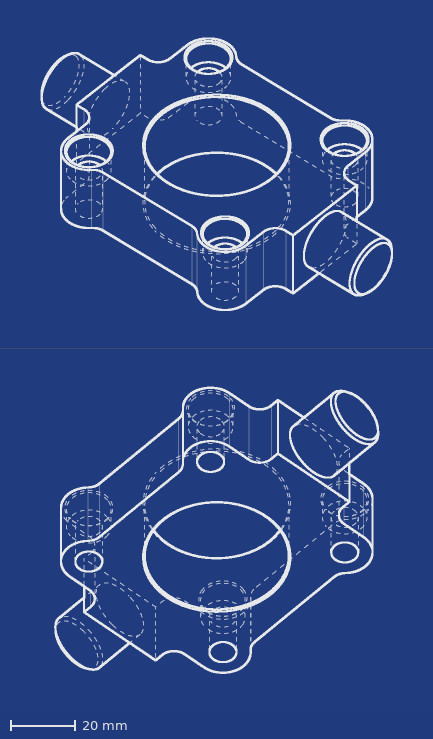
import cadquery as cq
import math

length = 130.0
thickness = 25.0
body_length = 90.0
body_width = 65.5
shoulder_width = 30.2

ear_span = 74.0
ear_radius = 8.7
blend_radius = 5.0

trunnion_diameter = 20.0
trunnion_chamfer = 1.0

bore_diameter = 45.0
hole_diameter = 8.5
counterbore_diameter = 13.9
counterbore_depth = 8.6
rim_chamfer = 0.5

ear_center = ear_span / 2 - ear_radius


def cylinder(diameter, height, x, y, bottom):
    return cq.Workplane("XY", origin=(x, y, bottom)).circle(diameter / 2).extrude(height)


def rim_cone(diameter, x, y, z, direction):
    """Cutter that breaks the rim of a vertical hole; direction points into the hole."""
    outer = cq.Vector(x, y, z)
    return cq.Workplane(
        cq.Solid.makeCone(
            diameter / 2 + rim_chamfer, diameter / 2, rim_chamfer, outer, cq.Vector(0, 0, direction)
        )
    )


def corner_outline():
    """One quarter of the body, closed along the X and Y axes."""
    ear_edge = ear_span / 2
    shoulder_y = shoulder_width / 2
    flat_y = body_width / 2

    blend_y = flat_y + blend_radius
    rise = blend_y - ear_center
    reach = ear_radius + blend_radius
    run = math.sqrt(reach**2 - rise**2)
    blend_x = ear_center - run
    tangent = (
        ear_center - ear_radius * run / reach,
        ear_center + ear_radius * rise / reach,
    )
    half_angle = math.atan2(run, rise) / 2
    blend_middle = (
        blend_x + blend_radius * math.sin(half_angle),
        blend_y - blend_radius * math.cos(half_angle),
    )
    diagonal = math.sqrt(0.5)
    corner_x = ear_edge + blend_radius
    corner_y = shoulder_y + blend_radius

    return (
        cq.Workplane("XY", origin=(0, 0, -thickness / 2))
        .lineTo(body_length / 2, 0)
        .lineTo(body_length / 2, shoulder_y)
        .lineTo(corner_x, shoulder_y)
        .threePointArc(
            (corner_x - blend_radius * diagonal, corner_y - blend_radius * diagonal),
            (ear_edge, corner_y),
        )
        .lineTo(ear_edge, ear_center)
        .threePointArc(
            (ear_center + ear_radius * diagonal, ear_center + ear_radius * diagonal),
            (ear_center, ear_edge),
        )
        .threePointArc(
            (
                ear_center - ear_radius * math.sin(half_angle),
                ear_center + ear_radius * math.cos(half_angle),
            ),
            tangent,
        )
        .threePointArc(blend_middle, (blend_x, flat_y))
        .lineTo(0, flat_y)
        .close()
    )


quarter = corner_outline().extrude(thickness)
half = quarter.union(quarter.mirror("YZ"))
body = half.union(half.mirror("XZ")).clean()

trunnions = (
    cq.Workplane("YZ", origin=(-length / 2, 0, 0))
    .circle(trunnion_diameter / 2)
    .extrude(length)
    .faces("<X or >X")
    .chamfer(trunnion_chamfer)
)
result = body.union(trunnions)

top = thickness / 2
result = result.cut(cylinder(bore_diameter, thickness, 0, 0, -top))
for side in (-1, 1):
    result = result.cut(rim_cone(bore_diameter, 0, 0, side * top, -side))

for x in (-ear_center, ear_center):
    for y in (-ear_center, ear_center):
        result = result.cut(cylinder(hole_diameter, thickness, x, y, -top))
        result = result.cut(
            cylinder(counterbore_diameter, counterbore_depth, x, y, top - counterbore_depth)
        )
        result = result.cut(rim_cone(counterbore_diameter, x, y, top, -1))